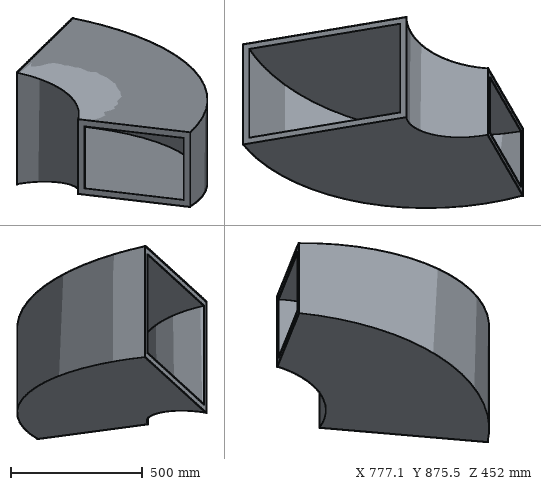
import cadquery as cq
import math

inlet_width = 600.0
inlet_height = 400.0
outlet_width = 400.0
outlet_height = 250.0

wall = 25.0
lip = 0.99
flange_width = wall + lip
flange_thickness = 1.98

bend_radius = 547.5
axis_x = flange_thickness
axis_y = flange_thickness
bend_angle = math.pi / 2
curve_spans = 8


def corner_point(travel, side, level, margin):
    """Corner of the duct section after a share `travel` (0 outlet, 1 inlet) of the bend.

    `side` is +1 on the outside of the bend and -1 on the inside, `level` is +1 on top and -1 below,
    `margin` is the distance outside the clear opening.
    """
    half_width = (outlet_width + (inlet_width - outlet_width) * travel) / 2 + margin
    half_height = (outlet_height + (inlet_height - outlet_height) * travel) / 2 + margin
    radius = bend_radius + side * half_width
    angle = bend_angle * travel
    return cq.Vector(
        axis_x + radius * math.cos(angle),
        axis_y + radius * math.sin(angle),
        level * half_height,
    )


def long_edge(side, level, margin):
    """Spiral edge that a section corner draws along the bend."""
    points = [corner_point(step / curve_spans, side, level, margin) for step in range(curve_spans + 1)]
    return cq.Edge.makeSpline(points)


def bend_solid(margin):
    """Tapering rectangular bend whose section is the clear opening grown by `margin`."""
    corners = [(1, 1), (1, -1), (-1, -1), (-1, 1)]
    edges = [long_edge(side, level, margin) for side, level in corners]
    faces = [cq.Face.makeRuledSurface(edges[i - 1], edges[i]) for i in range(len(edges))]
    for travel in (0, 1):
        outline = [corner_point(travel, side, level, margin) for side, level in corners]
        faces.append(cq.Face.makeFromWires(cq.Wire.makePolygon(outline, close=True)))
    return cq.Workplane(obj=cq.Solid.makeSolid(cq.Shell.makeShell(faces)))


def flange(plane, opening_width, opening_height):
    """Flat rectangular frame around the opening at one end of the duct."""
    return (
        cq.Workplane(plane)
        .rect(opening_width + 2 * flange_width, opening_height + 2 * flange_width)
        .rect(opening_width, opening_height)
        .extrude(flange_thickness)
    )


duct = bend_solid(wall).cut(bend_solid(0))

middle_x = axis_x + bend_radius
middle_y = axis_y + bend_radius
inlet_plane = cq.Plane(origin=(axis_x, middle_y, 0), xDir=(0, -1, 0), normal=(-1, 0, 0))
inlet_flange = flange(inlet_plane, inlet_width, inlet_height)

outlet_plane = cq.Plane(origin=(middle_x, axis_y, 0), xDir=(1, 0, 0), normal=(0, -1, 0))
outlet_flange = flange(outlet_plane, outlet_width, outlet_height)

result = cq.Compound.makeCompound([duct.solids().val(), inlet_flange.val(), outlet_flange.val()])